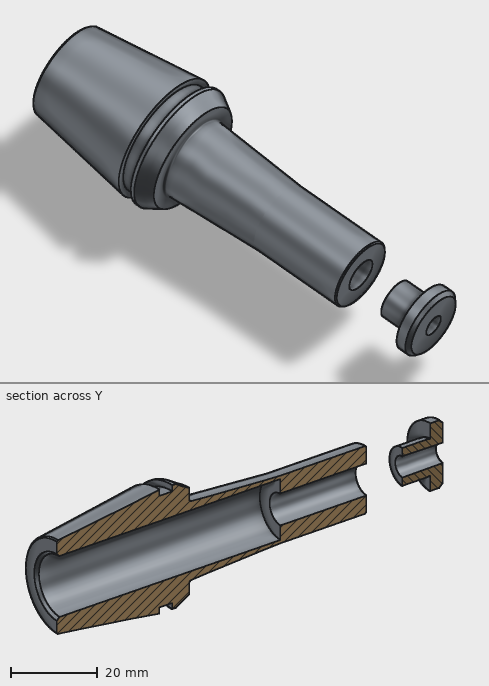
import cadquery as cq
import math

overall_length = 111.0

nose_end_diameter = 24.5
nose_end_chamfer = 0.3
nose_length = 29.5
collar_diameter = 32.4
groove_diameter = 29.2
groove_width = 3.7
collar_land_width = 1.0
collar_length = 5.0
collar_rear_diameter = 27.7
neck_root_diameter = 20.8
neck_root_fillet = 0.7
neck_end_x = 64.3
shank_diameter = 17.8
shank_end_x = 89.0
shank_end_chamfer = 0.3

bore_diameter = 15.8
bore_depth = neck_end_x
bore_chamfer = 0.8
rear_hole_diameter = 8.2

stem_start_x = 99.3
stem_diameter = 10.0
hole_front_diameter = 5.4
hole_rear_diameter = 5.2
undercut_diameter = 9.8
undercut_width = 0.3
head_start_x = 107.3
head_diameter = shank_diameter
head_rim_chamfer = 1.0


def revolve_about_x(profile):
    """Turn a closed profile, drawn as (x, radius), about the X axis."""
    return profile.close().revolve(360, (0, 0, 0), (1, 0, 0))


def make_holder_blank():
    nose_radius = nose_end_diameter / 2
    collar_radius = collar_diameter / 2
    groove_radius = groove_diameter / 2
    shank_radius = shank_diameter / 2
    collar_start_x = nose_length + groove_width
    collar_end_x = collar_start_x + collar_length

    neck_root_radius = neck_root_diameter / 2
    neck_taper = (neck_root_radius - shank_radius) / (neck_end_x - collar_end_x)
    neck_angle = math.atan(neck_taper)
    fillet_run = neck_root_fillet * (1 - math.sin(neck_angle))
    fillet_end_radius = neck_root_radius - fillet_run * neck_taper
    fillet_start_radius = fillet_end_radius + neck_root_fillet * math.cos(neck_angle)

    profile = (
        cq.Workplane("XY")
        .moveTo(0, 0)
        .lineTo(0, nose_radius - nose_end_chamfer)
        .lineTo(nose_end_chamfer, nose_radius)
        .lineTo(nose_length, collar_radius)
        .lineTo(nose_length, groove_radius)
        .lineTo(collar_start_x, groove_radius)
        .lineTo(collar_start_x, collar_radius)
        .lineTo(collar_start_x + collar_land_width, collar_radius)
        .lineTo(collar_end_x, collar_rear_diameter / 2)
        .lineTo(collar_end_x, fillet_start_radius)
        .radiusArc((collar_end_x + fillet_run, fillet_end_radius), -neck_root_fillet)
        .lineTo(neck_end_x, shank_radius)
        .lineTo(shank_end_x - shank_end_chamfer, shank_radius)
        .lineTo(shank_end_x, shank_radius - shank_end_chamfer)
        .lineTo(shank_end_x, 0)
    )
    return revolve_about_x(profile)


def make_bore():
    bore_radius = bore_diameter / 2
    hole_radius = rear_hole_diameter / 2
    profile = (
        cq.Workplane("XY")
        .moveTo(0, 0)
        .lineTo(0, bore_radius + bore_chamfer)
        .lineTo(bore_chamfer, bore_radius)
        .lineTo(bore_depth, bore_radius)
        .lineTo(bore_depth, hole_radius)
        .lineTo(shank_end_x, hole_radius)
        .lineTo(shank_end_x, 0)
    )
    return revolve_about_x(profile)


def make_plug():
    stem_radius = stem_diameter / 2
    undercut_radius = undercut_diameter / 2
    head_radius = head_diameter / 2
    undercut_start_x = head_start_x - undercut_width
    profile = (
        cq.Workplane("XY")
        .moveTo(stem_start_x, hole_front_diameter / 2)
        .lineTo(stem_start_x, stem_radius)
        .lineTo(undercut_start_x, stem_radius)
        .lineTo(undercut_start_x, undercut_radius)
        .lineTo(head_start_x, undercut_radius)
        .lineTo(head_start_x, head_radius)
        .lineTo(overall_length - head_rim_chamfer, head_radius)
        .lineTo(overall_length, head_radius - head_rim_chamfer)
        .lineTo(overall_length, hole_rear_diameter / 2)
    )
    return revolve_about_x(profile)


holder = make_holder_blank().cut(make_bore())
plug = make_plug()

result = cq.Compound.makeCompound([holder.val(), plug.val()])